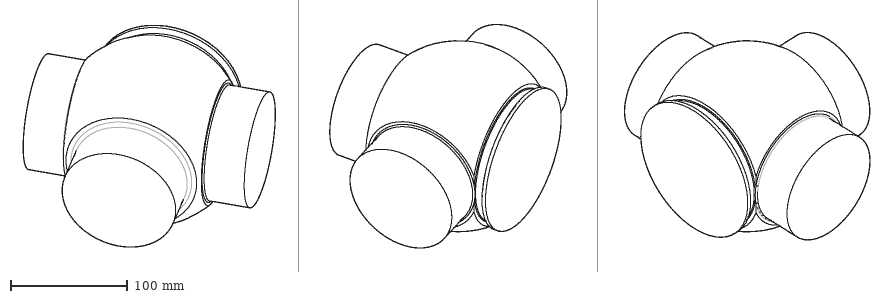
import cadquery as cq
import math

ball_diameter = 165.1
ball_radius = ball_diameter / 2
side_flat_offset = 61.6
front_flat_offset = 58.3
back_flat_offset = 51.2

pipe_diameter = 101.6
overall_width = 197.61
pipe_end_offset = overall_width / 2
side_root_fillet = 1.4
front_root_fillet = 3.175

overall_depth = 163.5
flange_face_offset = overall_depth - pipe_end_offset
flange_diameter = 130.18
flange_rim_width = 3.5
flange_bevel_width = 2.0
neck_diameter = 120.65
neck_root_fillet = 0.8

fillet_middle_ratio = 1 - math.sqrt(0.5)


def make_ball():
    """Sphere cut flat where the pipes and the neck leave it."""
    ball = cq.Workplane("XY").sphere(ball_radius)
    width = 2 * side_flat_offset
    depth = front_flat_offset + back_flat_offset
    limits = (
        cq.Workplane("XY")
        .box(width, depth, ball_diameter)
        .translate((0, (back_flat_offset - front_flat_offset) / 2, 0))
    )
    return ball.intersect(limits)


def make_pipe(flat_offset, root_fillet, turn):
    """Pipe stub along -Y with a concave root, turned about Z by the given angle."""
    pipe_radius = pipe_diameter / 2
    root_radius = pipe_radius + root_fillet
    root_end = flat_offset + root_fillet
    arc_shift = root_fillet * fillet_middle_ratio
    profile = (
        cq.Workplane("XY")
        .moveTo(0, 0)
        .lineTo(root_radius, 0)
        .lineTo(root_radius, -flat_offset)
        .threePointArc(
            (pipe_radius + arc_shift, -flat_offset - arc_shift),
            (pipe_radius, -root_end),
        )
        .lineTo(pipe_radius, -pipe_end_offset)
        .lineTo(0, -pipe_end_offset)
        .close()
    )
    pipe = profile.revolve(360, (0, 0, 0), (0, 1, 0))
    return pipe.rotate((0, 0, 0), (0, 0, 1), turn)


def make_flanged_neck():
    """Short neck along +Y ending in a flange with a bevelled inner side."""
    neck_radius = neck_diameter / 2
    flange_radius = flange_diameter / 2
    rim_start = flange_face_offset - flange_rim_width
    arc_shift = neck_root_fillet * fillet_middle_ratio
    bevel_start = rim_start - flange_bevel_width
    profile = (
        cq.Workplane("XY")
        .moveTo(0, 0)
        .lineTo(neck_radius + neck_root_fillet, back_flat_offset)
        .threePointArc(
            (neck_radius + arc_shift, back_flat_offset + arc_shift),
            (neck_radius, back_flat_offset + neck_root_fillet),
        )
        .lineTo(neck_radius, bevel_start)
        .lineTo(flange_radius, rim_start)
        .lineTo(flange_radius, flange_face_offset)
        .lineTo(0, flange_face_offset)
        .close()
    )
    return profile.revolve(360, (0, 0, 0), (0, 1, 0))


result = make_ball()
result = result.union(make_pipe(front_flat_offset, front_root_fillet, 0))
for side_turn in (-90, 90):
    result = result.union(make_pipe(side_flat_offset, side_root_fillet, side_turn))
result = result.union(make_flanged_neck())